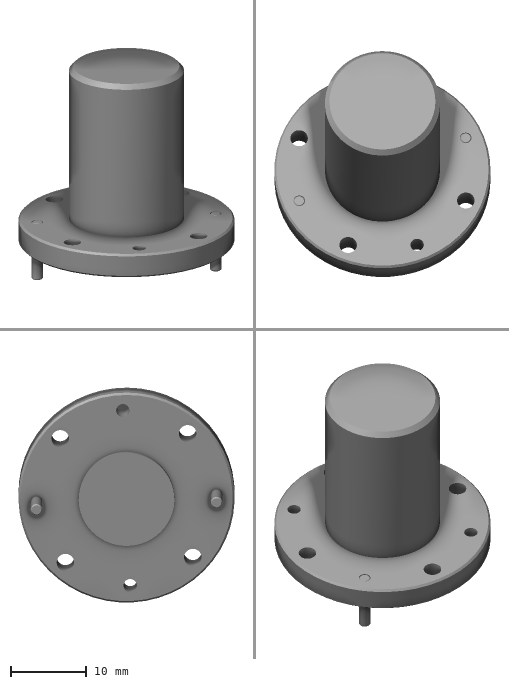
import cadquery as cq
import math

TOTAL_HEIGHT = 29.27
PIN_PROJECTION = 4.65
FLANGE_THICKNESS = 3.28
BARREL_TOP = TOTAL_HEIGHT - PIN_PROJECTION

FLANGE_DIAMETER = 28.57
FLANGE_CHAMFER = 0.25

BARREL_DIAMETER = 15.22
BARREL_CHAMFER = 0.61
PILOT_DIAMETER = 12.65
PILOT_HEIGHT = 0.8

HOLE_CIRCLE_RADIUS = 11.9
SCREW_HOLE_DIAMETER = 2.3
DOWEL_HOLE_DIAMETER = 1.75
SCREW_ANGLES = (0, 90, 180, 270)
DOWEL_HOLE_ANGLES = (135, 315)
PIN_ANGLES = (45, 225)

PIN_DIAMETER = 1.52
PIN_CHAMFER = 0.15


def circle_points(angles):
    """Points on the hole circle at the given angles in degrees."""
    return [
        (
            HOLE_CIRCLE_RADIUS * math.cos(math.radians(angle)),
            HOLE_CIRCLE_RADIUS * math.sin(math.radians(angle)),
        )
        for angle in angles
    ]


def flange_cutter(angles, diameter):
    """Cylinders through the flange thickness at the given angles."""
    return (
        cq.Workplane("XY")
        .pushPoints(circle_points(angles))
        .circle(diameter / 2)
        .extrude(FLANGE_THICKNESS)
    )


def make_pin(x, y):
    """Dowel pin with both ends chamfered."""
    return (
        cq.Workplane("XY", origin=(x, y, -PIN_PROJECTION))
        .circle(PIN_DIAMETER / 2)
        .extrude(PIN_PROJECTION + FLANGE_THICKNESS)
        .edges("%CIRCLE")
        .chamfer(PIN_CHAMFER)
    )


def make_housing():
    """Round flange with barrel, pilot boss and all of its holes."""
    flange = (
        cq.Workplane("XY")
        .circle(FLANGE_DIAMETER / 2)
        .extrude(FLANGE_THICKNESS)
        .edges("%CIRCLE")
        .chamfer(FLANGE_CHAMFER)
    )
    barrel = (
        cq.Workplane("XY")
        .circle(BARREL_DIAMETER / 2)
        .extrude(BARREL_TOP)
        .faces(">Z")
        .chamfer(BARREL_CHAMFER)
    )
    pilot = cq.Workplane("XY").circle(PILOT_DIAMETER / 2).extrude(-PILOT_HEIGHT)
    return (
        flange.union(barrel)
        .union(pilot)
        .cut(flange_cutter(SCREW_ANGLES, SCREW_HOLE_DIAMETER))
        .cut(flange_cutter(DOWEL_HOLE_ANGLES, DOWEL_HOLE_DIAMETER))
        .cut(flange_cutter(PIN_ANGLES, PIN_DIAMETER))
    )


housing = make_housing()
pins = [make_pin(x, y) for x, y in circle_points(PIN_ANGLES)]

result = cq.Compound.makeCompound([housing.val(), *[pin.val() for pin in pins]])